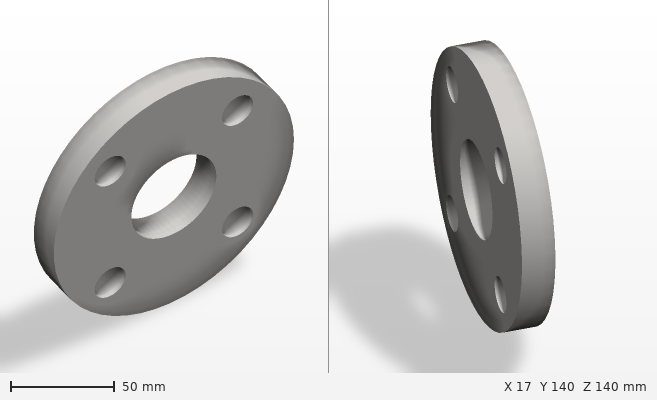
import cadquery as cq

outer_diameter = 140.0
thickness = 17.0
bore_diameter = 49.5
bolt_circle_diameter = 105.0
bolt_hole_diameter = 18.0
bolt_count = 4
first_bolt_angle = 45.0

disc = (
    cq.Workplane("YZ")
    .circle(outer_diameter / 2)
    .circle(bore_diameter / 2)
    .extrude(thickness)
)

bolt_holes = (
    cq.Workplane("YZ")
    .polarArray(bolt_circle_diameter / 2, first_bolt_angle, 360, bolt_count)
    .circle(bolt_hole_diameter / 2)
    .extrude(thickness)
)

result = disc.cut(bolt_holes)